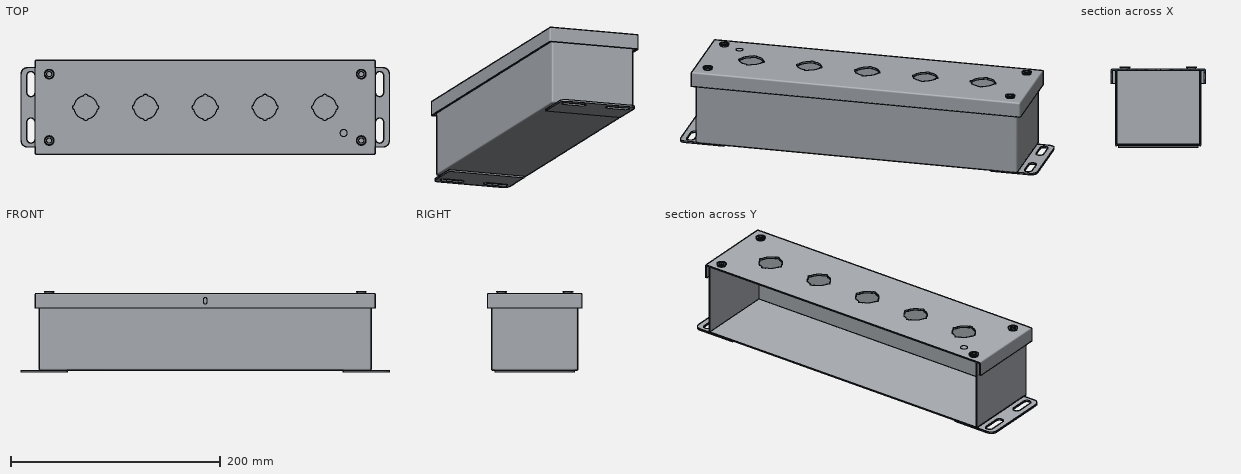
import cadquery as cq

INCH = 25.4
SHEET = 1.65

BOX_LENGTH = 12.5 * INCH
BOX_WIDTH = 3.25 * INCH
BOX_BEND = 1.6

OVERALL_LENGTH = 352.43
OVERALL_HEIGHT = 77.1

FOOT_LENGTH = 1.75 * INCH
FOOT_WIDTH = 3 * INCH
FOOT_CORNER = 6.35
SLOT_LENGTH = 23.8
SLOT_WIDTH = 7.6
SLOT_PITCH = 1.75 * INCH
SLOT_EDGE = 5.7

COVER_WIDTH = 90.49
COVER_LENGTH = BOX_LENGTH + COVER_WIDTH - BOX_WIDTH
COVER_HEIGHT = 14.3
COVER_BEND = 1.5

SCREW_PITCH_X = 11.75 * INCH
SCREW_PITCH_Y = 2.5 * INCH
SCREW_HEAD = 9.2
SCREW_NECK = 8.05
SCREW_PROUD = 1.7
SCREW_HEAD_THICKNESS = 0.3
SCREW_SOCKET = 5.0
SCREW_SOCKET_DEPTH = 1.5

BUTTON_COUNT = 5
BUTTON_PITCH = 2.25 * INCH
BUTTON_HOLE = 22.5
NOTCH_DIAMETER = 4.7
NOTCH_SPAN = 25.1

PLUG_DIAMETER = 6.76
PLUG_X = 132.4
PLUG_Y = -24.6
PRY_SLOT_WIDTH = 3.2
PRY_SLOT_HEIGHT = 6.35

BOX_BOTTOM = SHEET
COVER_TOP = OVERALL_HEIGHT - SCREW_PROUD
COVER_UNDERSIDE = COVER_TOP - SHEET
COVER_RIM = COVER_TOP - COVER_HEIGHT


def block(length, width, bottom, top):
    """Upright block centred on the Z axis."""
    return cq.Workplane("XY", origin=(0, 0, bottom)).rect(length, width).extrude(top - bottom)


def make_foot(side):
    """Mounting foot at one end of the box; side is -1 or 1."""
    centre_x = side * (OVERALL_LENGTH - FOOT_LENGTH) / 2
    slot_x = side * (OVERALL_LENGTH / 2 - SLOT_EDGE - SLOT_WIDTH / 2)
    outer_edges = ">X" if side > 0 else "<X"
    plate = block(FOOT_LENGTH, FOOT_WIDTH, 0, SHEET).translate((centre_x, 0, 0))
    plate = plate.faces(outer_edges).edges("|Z").fillet(FOOT_CORNER)
    slots = (
        cq.Workplane("XY")
        .pushPoints([(slot_x, -SLOT_PITCH / 2), (slot_x, SLOT_PITCH / 2)])
        .slot2D(SLOT_LENGTH, SLOT_WIDTH, 90)
        .extrude(SHEET)
    )
    return plate.cut(slots)


def make_box():
    """Open-topped box with a foot welded under each end."""
    shell = block(BOX_LENGTH, BOX_WIDTH, BOX_BOTTOM, COVER_UNDERSIDE)
    shell = shell.edges("|Z").fillet(BOX_BEND)
    shell = shell.faces("<Z").edges().fillet(BOX_BEND)
    cavity = block(BOX_LENGTH - 2 * SHEET, BOX_WIDTH - 2 * SHEET, BOX_BOTTOM + SHEET, COVER_UNDERSIDE)
    shell = shell.cut(cavity)
    for side in (-1, 1):
        shell = shell.union(make_foot(side))
    return shell


def make_button_holes():
    """Row of round push-button holes, each with four rounded notches."""
    centres = [((i - (BUTTON_COUNT - 1) / 2) * BUTTON_PITCH, 0) for i in range(BUTTON_COUNT)]
    plane = cq.Workplane("XY", origin=(0, 0, COVER_UNDERSIDE))
    holes = plane.pushPoints(centres).circle(BUTTON_HOLE / 2).extrude(SHEET)
    notch_offset = (NOTCH_SPAN - NOTCH_DIAMETER) / 2
    for way_x, way_y in [(1, 0), (-1, 0), (0, 1), (0, -1)]:
        notch_centres = [(x + way_x * notch_offset, y + way_y * notch_offset) for x, y in centres]
        notches = plane.pushPoints(notch_centres).circle(NOTCH_DIAMETER / 2).extrude(SHEET)
        holes = holes.union(notches)
    return holes


def make_screws():
    """Four socketed screw heads standing proud of the cover's top."""
    plane = (
        cq.Workplane("XY", origin=(0, 0, COVER_TOP))
        .rect(SCREW_PITCH_X, SCREW_PITCH_Y, forConstruction=True)
        .vertices()
    )
    neck_height = SCREW_PROUD - SCREW_HEAD_THICKNESS
    necks = plane.circle(SCREW_NECK / 2).extrude(neck_height)
    heads = plane.circle(SCREW_HEAD / 2).extrude(SCREW_HEAD_THICKNESS).translate((0, 0, neck_height))
    sockets = plane.circle(SCREW_SOCKET / 2).extrude(SCREW_SOCKET_DEPTH)
    sockets = sockets.translate((0, 0, SCREW_PROUD - SCREW_SOCKET_DEPTH))
    return necks.union(heads).cut(sockets)


def make_plug():
    """Round plug set flush in the cover's top."""
    plane = cq.Workplane("XY", origin=(PLUG_X, PLUG_Y, COVER_UNDERSIDE))
    return plane.circle(PLUG_DIAMETER / 2).extrude(SHEET)


def make_cover():
    """Flanged cover that fits over the box's rim, with its captive screws."""
    cover = block(COVER_LENGTH, COVER_WIDTH, COVER_RIM, COVER_TOP)
    cover = cover.edges("|Z").fillet(COVER_BEND)
    cover = cover.faces(">Z").edges().fillet(COVER_BEND)
    inside = block(COVER_LENGTH - 2 * SHEET, COVER_WIDTH - 2 * SHEET, COVER_RIM, COVER_UNDERSIDE)
    pry_slot = (
        cq.Workplane("XZ", origin=(0, -COVER_WIDTH / 2 + SHEET, COVER_TOP - COVER_HEIGHT / 2))
        .slot2D(PRY_SLOT_HEIGHT, PRY_SLOT_WIDTH, 90)
        .extrude(SHEET)
    )
    cover = cover.cut(inside).cut(make_button_holes()).cut(make_plug()).cut(pry_slot)
    return cover.union(make_screws())


box = make_box()
cover = make_cover()
plug = make_plug()

result = cq.Compound.makeCompound([box.val(), cover.val(), plug.val()])